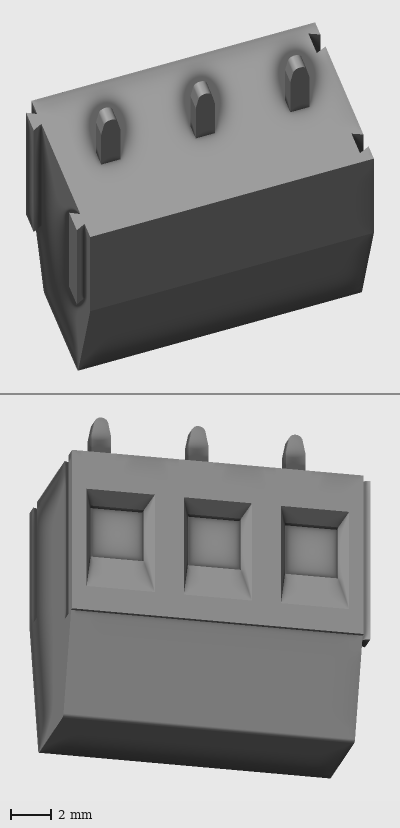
import cadquery as cq


total_height = 17.1
body_width = 9.0
pole_count = 3
body_length = 15.0
pitch = body_length / pole_count

pin_length = 3.5
body_top = total_height - pin_length
wire_face_height = 8.5
wire_face_bottom = body_top - wire_face_height
ledge_width = 0.22
back_face_bottom = 7.4
base_left = 1.88
base_right = 7.13
base_edge_radius = 0.2

entry_width = 3.5
entry_bottom = 6.36
entry_top = 11.58
well_width = 2.74
well_bottom = 8.26
well_top = well_bottom + well_width
funnel_depth = 0.75
well_depth = 1.1

pin_width = 1.01
pin_thickness = 0.8
pin_taper_height = 1.0
pin_tip_width = 0.6
pin_tip_radius = 0.35

wire_side_dovetail_x = 1.2
back_dovetail_x = 7.8
back_dovetail_height = 6.19
rib_projection = 0.5
rib_neck_width = 0.65
rib_outer_width = 1.16
slot_depth = 0.55
slot_mouth_width = 0.79
slot_floor_width = 1.28

end_y = body_length / 2
pole_centres = [(pole - (pole_count - 1) / 2) * pitch for pole in range(pole_count)]
dovetails = [
    (wire_side_dovetail_x, wire_face_height),
    (back_dovetail_x, back_dovetail_height),
]


def make_body():
    """Block with a tapered base whose two long bottom edges are rounded."""
    outline = [
        (0, body_top),
        (0, wire_face_bottom),
        (ledge_width, wire_face_bottom),
        (base_left, 0),
        (base_right, 0),
        (body_width, back_face_bottom),
        (body_width, body_top),
    ]
    block = cq.Workplane("XZ").polyline(outline).close().extrude(end_y, both=True)
    return block.faces("<Z").edges("|Y").fillet(base_edge_radius)


def make_wire_entry(centre_y):
    """Cutter for one wire entry: a funnel narrowing into a square well."""
    entry_height = entry_top - entry_bottom
    well_height = well_top - well_bottom
    rise = (well_top + well_bottom - entry_top - entry_bottom) / 2
    funnel = (
        cq.Workplane("YZ", origin=(0, centre_y, (entry_top + entry_bottom) / 2))
        .rect(entry_width, entry_height)
        .workplane(offset=funnel_depth)
        .center(0, rise)
        .rect(well_width, well_height)
        .loft(ruled=True)
    )
    well = (
        cq.Workplane("YZ", origin=(funnel_depth, centre_y, (well_top + well_bottom) / 2))
        .rect(well_width, well_height)
        .extrude(well_depth - funnel_depth)
    )
    return funnel.union(well)


def make_pin(centre_y):
    """Flat pin standing on the top face, with a tapered and rounded tip."""
    half_width = pin_width / 2
    half_tip = pin_tip_width / 2
    taper_start = pin_length - pin_taper_height
    outline = [
        (-half_width, 0),
        (half_width, 0),
        (half_width, taper_start),
        (half_tip, pin_length),
        (-half_tip, pin_length),
        (-half_width, taper_start),
    ]
    pin = (
        cq.Workplane("YZ", origin=(body_width / 2, centre_y, body_top))
        .polyline(outline)
        .close()
        .extrude(pin_thickness / 2, both=True)
    )
    return pin.faces(">Z").edges("|X").fillet(pin_tip_radius)


def make_dovetail(centre_x, outer_y, height, narrow_width, wide_width, depth):
    """Vertical dovetail reaching -Y from its narrow side at outer_y, down from the top face."""
    outline = [
        (-narrow_width / 2, 0),
        (narrow_width / 2, 0),
        (wide_width / 2, -depth),
        (-wide_width / 2, -depth),
    ]
    return (
        cq.Workplane("XY", origin=(centre_x, outer_y, body_top))
        .polyline(outline)
        .close()
        .extrude(-height)
    )


result = make_body()

for centre_y in pole_centres:
    result = result.cut(make_wire_entry(centre_y))
    result = result.union(make_pin(centre_y))

for centre_x, height in dovetails:
    rib = make_dovetail(centre_x, -end_y, height, rib_neck_width, rib_outer_width, rib_projection)
    slot = make_dovetail(centre_x, end_y, height, slot_mouth_width, slot_floor_width, slot_depth)
    result = result.union(rib).cut(slot)